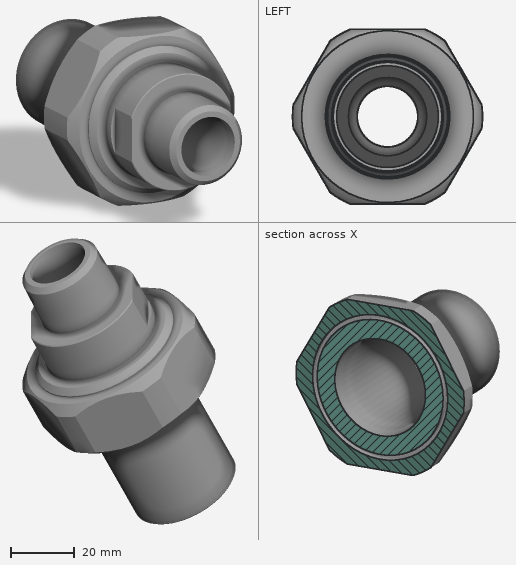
import cadquery as cq
import math

overall_length = 96

tube_radius = 35.0 / 2
tube_bore_radius = 32.0 / 2
tube_end_chamfer = 0.5
shoulder_start = 39.7
shoulder_radius = 38.5 / 2
shoulder_chamfer = 0.4
shoulder_fillet = 1.2
flange_radius = 44.8 / 2
flange_start = 46.1
joint_x = 49.9

nut_start = 39.5
nut_end = 60.6
nut_across_flats = 55.0
nut_corner_radius = 59.7 / 2
nut_chamfer = 2.9
nut_lip_radius = 39.1 / 2

collar_radius = 47.7 / 2
collar_end = 62.9
collar_end_radius = 44.0 / 2
hub_radius = 38.0 / 2
hub_end = 78.0
hub_fillet = 0.6
hub_chamfer = 0.3
flat_start = 66.7
flat_offset = tube_radius
spigot_root_radius = 13.4
spigot_root_fillet = 0.5
spigot_taper = 1 / 32
spigot_chamfer = 1.6
male_bore_radius = 19.0 / 2
countersink_radius = 24.6 / 2


def revolve_about_x(profile):
    """Turn a profile drawn in the XY plane (Y is the radius) about the X axis."""
    return profile.close().revolve(360, (0, 0, 0), (1, 0, 0))


def cylinder_along_x(start, end, radius):
    return cq.Workplane("YZ", origin=(start, 0, 0)).circle(radius).extrude(end - start)


def concave_fillet_middle(center_x, center_radius, fillet, x_direction):
    """Midpoint of a quarter arc on the side of its centre facing the axis."""
    offset = fillet * math.sqrt(0.5)
    return (center_x + x_direction * offset, center_radius - offset)


def make_tailpiece():
    fillet_x = shoulder_start - shoulder_fillet
    fillet_top = tube_radius + shoulder_fillet
    profile = (
        cq.Workplane("XY")
        .moveTo(0, tube_bore_radius)
        .lineTo(0, tube_radius - tube_end_chamfer)
        .lineTo(tube_end_chamfer, tube_radius)
        .lineTo(fillet_x, tube_radius)
        .threePointArc(
            concave_fillet_middle(fillet_x, fillet_top, shoulder_fillet, 1),
            (shoulder_start, fillet_top),
        )
        .lineTo(shoulder_start, shoulder_radius - shoulder_chamfer)
        .lineTo(shoulder_start + shoulder_chamfer, shoulder_radius)
        .lineTo(flange_start, shoulder_radius)
        .lineTo(flange_start, flange_radius)
        .lineTo(joint_x, flange_radius)
        .lineTo(joint_x, tube_bore_radius)
    )
    return revolve_about_x(profile)


def make_nut():
    hexagon_diameter = nut_across_flats / math.cos(math.pi / 6)
    hexagon = (
        cq.Workplane("YZ", origin=(nut_start, 0, 0))
        .polygon(6, hexagon_diameter)
        .extrude(nut_end - nut_start)
    )
    envelope = cylinder_along_x(nut_start, nut_end, nut_corner_radius).edges().chamfer(nut_chamfer)
    lip_bore = cylinder_along_x(nut_start, flange_start, nut_lip_radius)
    thread_bore = cylinder_along_x(flange_start, nut_end, collar_radius)
    return hexagon.intersect(envelope).cut(lip_bore).cut(thread_bore)


def make_male_blank():
    """Turned male end, bored through, before the wrench flats are cut."""
    collar_chamfer = collar_radius - collar_end_radius
    hub_fillet_x = collar_end + hub_fillet
    hub_fillet_top = hub_radius + hub_fillet
    spigot_start = hub_end + spigot_root_fillet
    root_fillet_top = spigot_root_radius + spigot_root_fillet
    chamfer_start = overall_length - spigot_chamfer
    spigot_tip_radius = spigot_root_radius - spigot_taper * (chamfer_start - spigot_start)
    countersink_depth = countersink_radius - male_bore_radius
    profile = (
        cq.Workplane("XY")
        .moveTo(joint_x, countersink_radius)
        .lineTo(joint_x, collar_radius)
        .lineTo(collar_end - collar_chamfer, collar_radius)
        .lineTo(collar_end, collar_end_radius)
        .lineTo(collar_end, hub_fillet_top)
        .threePointArc(
            concave_fillet_middle(hub_fillet_x, hub_fillet_top, hub_fillet, -1),
            (hub_fillet_x, hub_radius),
        )
        .lineTo(hub_end - hub_chamfer, hub_radius)
        .lineTo(hub_end, hub_radius - hub_chamfer)
        .lineTo(hub_end, root_fillet_top)
        .threePointArc(
            concave_fillet_middle(spigot_start, root_fillet_top, spigot_root_fillet, -1),
            (spigot_start, spigot_root_radius),
        )
        .lineTo(chamfer_start, spigot_tip_radius)
        .lineTo(overall_length, spigot_tip_radius - spigot_chamfer)
        .lineTo(overall_length, male_bore_radius)
        .lineTo(joint_x + countersink_depth, male_bore_radius)
    )
    return revolve_about_x(profile)


def make_male_end():
    male_end = make_male_blank()
    flat_length = hub_end - flat_start
    flat_depth = hub_radius - flat_offset
    for side in (-1, 1):
        flat_cutter = cq.Workplane("XY").box(flat_length, flat_depth, 2 * hub_radius).translate(
            (flat_start + flat_length / 2, side * (flat_offset + flat_depth / 2), 0)
        )
        male_end = male_end.cut(flat_cutter)
    return male_end


tailpiece = make_tailpiece()
nut = make_nut()
male_end = make_male_end()

result = cq.Compound.makeCompound([tailpiece.val(), nut.val(), male_end.val()])